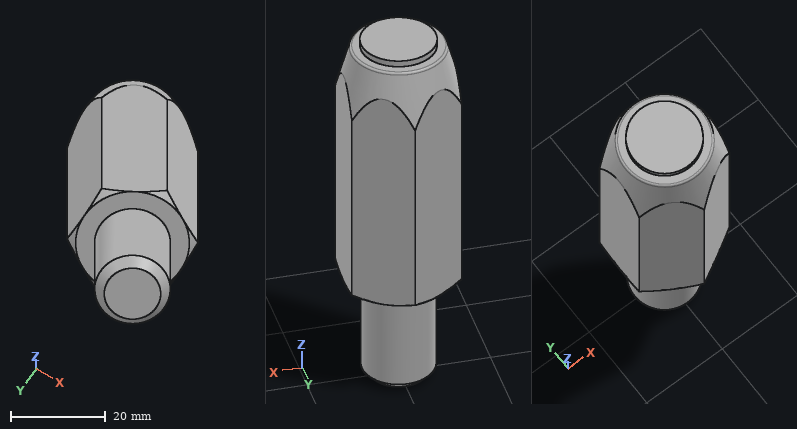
import cadquery as cq
import math

total_height = 85.0
stud_length = 25.0
face_height = 1.45
shoulder_z = total_height - face_height

across_flats = 24.0
flat_radius = across_flats / 2
corner_radius = across_flats / math.sqrt(3)
lower_chamfer_angle = 30.0
lower_chamfer_rise = (corner_radius - flat_radius) * math.tan(math.radians(lower_chamfer_angle))

shoulder_radius = 10.45
shoulder_round = 0.5
nose_top_z = shoulder_z - shoulder_round
flat_peak_z = 77.6
nose_base_z = 70.8

face_diameter = 16.3
stud_diameter = 16.0
stud_chamfer = 2.0


def hexagon_body():
    """Hexagonal prism between the stud and the shoulder, corners on the Y axis."""
    return (
        cq.Workplane("XY", origin=(0, 0, stud_length))
        .transformed(rotate=(0, 0, 90))
        .polygon(6, 2 * corner_radius)
        .extrude(shoulder_z - stud_length)
    )


def turned_envelope():
    """Turned profile that trims the hexagon corners at both ends."""
    round_offset = shoulder_round * math.sqrt(0.5)
    return (
        cq.Workplane("XZ")
        .moveTo(0, stud_length)
        .lineTo(flat_radius, stud_length)
        .lineTo(corner_radius, stud_length + lower_chamfer_rise)
        .lineTo(corner_radius, nose_base_z)
        .threePointArc((flat_radius, flat_peak_z), (shoulder_radius, nose_top_z))
        .threePointArc(
            (shoulder_radius - shoulder_round + round_offset, nose_top_z + round_offset),
            (shoulder_radius - shoulder_round, shoulder_z),
        )
        .lineTo(0, shoulder_z)
        .close()
        .revolve(360, (0, 0, 0), (0, 1, 0))
    )


def stud():
    """Plain round stud with a chamfered tip."""
    return (
        cq.Workplane("XY")
        .circle(stud_diameter / 2)
        .extrude(stud_length)
        .faces("<Z")
        .chamfer(stud_chamfer)
    )


def raised_face():
    """Low round disc on top of the shoulder."""
    return (
        cq.Workplane("XY", origin=(0, 0, shoulder_z))
        .circle(face_diameter / 2)
        .extrude(face_height)
    )


body = hexagon_body().intersect(turned_envelope())
result = body.union(stud()).union(raised_face())